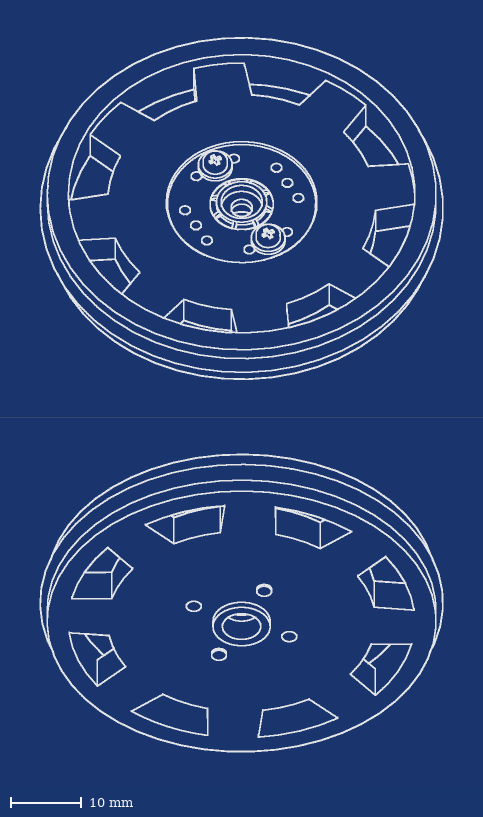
import cadquery as cq
import math

tyre_outer_diameter = 57.0
tyre_section_diameter = 3.0
rim_diameter = 55.0
rim_inner_diameter = 49.0
rim_height = 7.0

web_recess = 2.0
window_count = 8
window_inner_diameter = 37.95
window_half_width = 3.5
window_side_angle = 26.0
wheel_hole_count = 4

horn_diameter = 21.0
horn_thickness = 2.0
horn_seat_diameter = 21.3
horn_drop = 0.45
horn_hole_diameter = 1.5
hole_circle_radius = 7.45
hole_side_offset = 3.1
shaft_diameter = 8.1
shaft_protrusion = 0.95
collar_diameter = 7.1
collar_height = 0.5
moat_diameter = 8.95
moat_depth = 0.15
rib_count = 8
rib_width = 0.5
screw_pocket_diameter = 5.8
screw_pocket_depth = 1.4
bore_diameter = 3.0
bore_length = 1.15
socket_diameter = 5.4

screw_count = 2
shank_diameter = 2.1
shank_protrusion = 0.35
flange_diameter = 4.8
flange_thickness = 0.7
head_diameter = 3.4
head_height = 1.1
head_rounding = 0.3
cross_length = 1.7
cross_width = 0.5
cross_depth = 0.5

web_top = rim_height - web_recess
horn_top = web_top - horn_drop
horn_bottom = horn_top - horn_thickness
collar_top = horn_top + collar_height
moat_floor = horn_top - moat_depth
pocket_floor = collar_top - screw_pocket_depth
socket_top = pocket_floor - bore_length


def disc(diameter, bottom, top):
    """Upright cylinder on the Z axis between two levels."""
    return cq.Workplane("XY").workplane(offset=bottom).circle(diameter / 2).extrude(top - bottom)


def make_tyre():
    """Full round ring that is half sunk into the rim."""
    section_radius = tyre_section_diameter / 2
    centre_radius = tyre_outer_diameter / 2 - section_radius
    torus = cq.Solid.makeTorus(centre_radius, section_radius)
    return cq.Workplane(torus).translate((0, 0, rim_height / 2))


def make_web():
    """Flat disc with flared windows that leave spokes between the hub area and the rim."""
    inner_radius = window_inner_diameter / 2
    outer_radius = rim_inner_diameter / 2
    slope = math.tan(math.radians(window_side_angle))
    corner_x = math.sqrt(inner_radius**2 - window_half_width**2)
    end_half_width = window_half_width + (outer_radius - corner_x) * slope
    window = (
        cq.Workplane("XY")
        .moveTo(corner_x, window_half_width)
        .lineTo(outer_radius, end_half_width)
        .lineTo(outer_radius, -end_half_width)
        .lineTo(corner_x, -window_half_width)
        .threePointArc((inner_radius, 0), (corner_x, window_half_width))
        .close()
        .extrude(web_top)
    )
    web = disc(rim_inner_diameter, 0, web_top)
    for index in range(window_count):
        web = web.cut(window.rotate((0, 0, 0), (0, 0, 1), index * 360 / window_count))
    return web


def make_wheel(tyre):
    """Rim and web, with seats for the tyre, the horn and its shaft."""
    rim = disc(rim_diameter, 0, rim_height).cut(disc(rim_inner_diameter, 0, rim_height))
    wheel = rim.union(make_web())
    wheel = wheel.cut(disc(horn_seat_diameter, horn_bottom, web_top))
    wheel = wheel.cut(disc(shaft_diameter, 0, horn_bottom))
    holes = (
        cq.Workplane("XY")
        .polarArray(hole_circle_radius, 0, 360, wheel_hole_count)
        .circle(shank_diameter / 2)
        .extrude(horn_bottom)
    )
    return wheel.cut(holes).cut(tyre)


def make_collar():
    """Ring that stiffening ribs tie to the moat's rim, their tops sloping down outward."""
    cone = cq.Solid.makeCone(
        moat_diameter / 2, collar_diameter / 2, collar_top - horn_top, pnt=cq.Vector(0, 0, horn_top)
    )
    ribs = disc(moat_diameter, moat_floor, horn_top).union(cq.Workplane(cone))
    bar = cq.Workplane("XY").workplane(offset=moat_floor).rect(horn_seat_diameter, rib_width)
    bar = bar.extrude(collar_top - moat_floor)
    star = bar
    for index in range(1, rib_count // 2):
        star = star.union(bar.rotate((0, 0, 0), (0, 0, 1), index * 360 / rib_count))
    return ribs.intersect(star).union(disc(collar_diameter, moat_floor, collar_top))


def make_horn():
    """Drilled disc with a shaft below and, above, a ribbed collar standing in a shallow moat."""
    horn = disc(horn_diameter, horn_bottom, horn_top)
    horn = horn.union(disc(shaft_diameter, -shaft_protrusion, horn_bottom))
    horn = horn.cut(disc(moat_diameter, moat_floor, horn_top))
    horn = horn.union(make_collar())
    horn = horn.cut(disc(screw_pocket_diameter, pocket_floor, collar_top))
    horn = horn.cut(disc(bore_diameter, socket_top, pocket_floor))
    horn = horn.cut(disc(socket_diameter, -shaft_protrusion, socket_top))

    side_points = []
    clear_points = []
    for side in (-1, 1):
        clear_points.append((0, side * hole_circle_radius))
        for offset in (-hole_side_offset, hole_side_offset):
            side_points.append((offset, side * hole_circle_radius))
            side_points.append((side * hole_circle_radius, offset))
    drills = cq.Workplane("XY").workplane(offset=horn_bottom).pushPoints(side_points + clear_points)
    horn = horn.cut(drills.circle(horn_hole_diameter / 2).extrude(horn_thickness))
    screw_holes = cq.Workplane("XY").workplane(offset=horn_bottom)
    screw_holes = screw_holes.polarArray(hole_circle_radius, 0, 360, screw_count)
    return horn.cut(screw_holes.circle(shank_diameter / 2).extrude(horn_thickness))


def make_screw():
    """Cross-recessed screw with a flange under its rounded head, on the Z axis."""
    flange_top = horn_top + flange_thickness
    head_top = flange_top + head_height
    head = disc(head_diameter, flange_top, head_top).faces(">Z").edges().fillet(head_rounding)
    screw = disc(shank_diameter, -shank_protrusion, horn_top)
    screw = screw.union(disc(flange_diameter, horn_top, flange_top)).union(head)
    for length, width in ((cross_length, cross_width), (cross_width, cross_length)):
        slot = cq.Workplane("XY").workplane(offset=head_top - cross_depth).rect(length, width)
        screw = screw.cut(slot.extrude(cross_depth))
    return screw


tyre = make_tyre()
wheel = make_wheel(tyre)
horn = make_horn()
screws = cq.Workplane("XY")
for index in range(screw_count):
    placed = make_screw().translate((hole_circle_radius, 0, 0))
    screws = screws.add(placed.rotate((0, 0, 0), (0, 0, 1), index * 360 / screw_count))

result = cq.Compound.makeCompound([tyre.val(), wheel.val(), horn.val(), *screws.vals()])